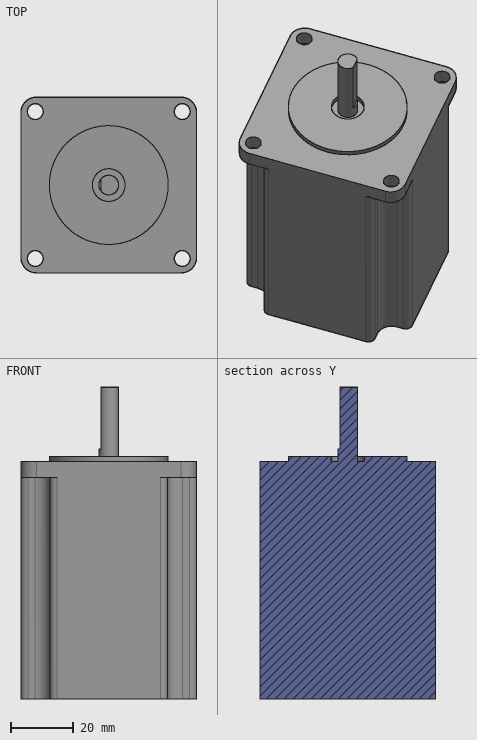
import cadquery as cq
import math

width = 56.4
total_height = 100.0
flange_top = 76.2
flange_thickness = 5.2
flange_corner_radius = 5.0
hole_spacing = 47.1
hole_diameter = 5.0

body_height = flange_top - flange_thickness
channel_inset = 4.5
channel_radius = 4.8
lip_radius = 2.3

pilot_diameter = 38.1
pilot_height = 1.6
recess_diameter = 10.5
recess_depth = pilot_height

shaft_diameter = 6.3
flat_depth = 0.6
flat_length = 19.8


def make_corner_cutter(sign_x, sign_y):
    """Concave channel at one corner, flared to the side faces by convex lips."""
    half = width / 2
    wall = channel_inset + channel_radius
    lip_start = wall + lip_radius
    arc_middle = math.cos(math.radians(45))
    lip_mid = lip_radius * (1 - arc_middle)
    channel_mid = channel_inset + channel_radius * arc_middle

    def corner_point(inset_x, inset_y):
        return sign_x * (half - inset_x), sign_y * (half - inset_y)

    return (
        cq.Workplane("XY")
        .moveTo(*corner_point(0, 0))
        .lineTo(*corner_point(0, lip_start))
        .threePointArc(corner_point(lip_mid, wall + lip_mid), corner_point(lip_radius, wall))
        .lineTo(*corner_point(channel_inset, wall))
        .threePointArc(corner_point(channel_mid, channel_mid), corner_point(wall, channel_inset))
        .lineTo(*corner_point(wall, lip_radius))
        .threePointArc(corner_point(wall + lip_mid, lip_mid), corner_point(lip_start, 0))
        .close()
        .extrude(body_height)
    )


def make_body():
    body = cq.Workplane("XY").box(width, width, body_height, centered=(True, True, False))
    for sign_x in (-1, 1):
        for sign_y in (-1, 1):
            body = body.cut(make_corner_cutter(sign_x, sign_y))
    return body


def make_flange():
    return (
        cq.Workplane("XY", origin=(0, 0, body_height))
        .rect(width, width)
        .extrude(flange_thickness)
        .edges("|Z")
        .fillet(flange_corner_radius)
        .faces(">Z")
        .workplane()
        .rect(hole_spacing, hole_spacing, forConstruction=True)
        .vertices()
        .hole(hole_diameter)
    )


def make_pilot():
    return cq.Workplane("XY", origin=(0, 0, flange_top)).circle(pilot_diameter / 2).extrude(pilot_height)


def make_recess():
    recess_floor = flange_top + pilot_height - recess_depth
    return (
        cq.Workplane("XY", origin=(0, 0, recess_floor))
        .circle(recess_diameter / 2)
        .extrude(recess_depth)
    )


def make_shaft():
    shaft = (
        cq.Workplane("XY", origin=(0, 0, body_height))
        .circle(shaft_diameter / 2)
        .extrude(total_height - body_height)
    )
    flat_cutter = (
        cq.Workplane("XY", origin=(flat_depth - shaft_diameter, 0, total_height - flat_length))
        .box(shaft_diameter, shaft_diameter, flat_length, centered=(True, True, False))
    )
    return shaft.cut(flat_cutter)


housing = make_body().union(make_flange()).union(make_pilot()).cut(make_recess())
result = housing.union(make_shaft())